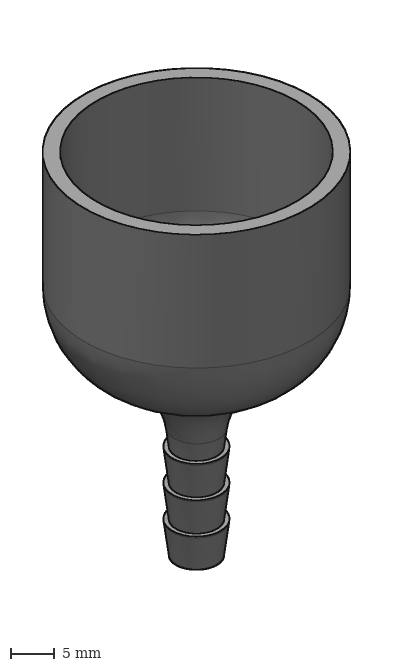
import cadquery as cq
import math

height = 54.65
outer_radius = 17.51
wall = 1.995
inner_radius = outer_radius - wall
bowl_top_z = 36.6
bowl_radius = 12.0
cavity_bowl_radius = bowl_radius - wall
bowl_center_r = outer_radius - bowl_radius
floor_z = bowl_top_z - cavity_bowl_radius

neck_fillet_radius = 10.0
barb_count = 3
barb_pitch = 4.9
barb_root_radius = 3.15
barb_tip_radius = 3.75
barb_land = 0.15
end_lip = 0.15
barb_stack_top_z = barb_count * barb_pitch

bore_radius = 2.25
bore_entry_round = 1.0

taper_angle = math.atan2(barb_tip_radius - barb_root_radius, barb_pitch - barb_land)
along_r, along_z = math.sin(taper_angle), math.cos(taper_angle)

offset_r = barb_root_radius + neck_fillet_radius * along_z
offset_z = barb_stack_top_z - neck_fillet_radius * along_r
gap_r = bowl_center_r - offset_r
gap_z = bowl_top_z - offset_z
projection = gap_r * along_r + gap_z * along_z
perpendicular = gap_r * along_z - gap_z * along_r
center_distance = bowl_radius + neck_fillet_radius
taper_length = projection - math.sqrt(center_distance**2 - perpendicular**2)
fillet_center_r = offset_r + taper_length * along_r
fillet_center_z = offset_z + taper_length * along_z
joint_angle = math.atan2(bowl_top_z - fillet_center_z, fillet_center_r - bowl_center_r)


def bowl_point(angle):
    """Point on the outer bowl at an angle below horizontal."""
    return (
        bowl_center_r + bowl_radius * math.cos(angle),
        bowl_top_z - bowl_radius * math.sin(angle),
    )


def fillet_point(angle):
    """Point on the neck fillet, with the angle measured up from the -R direction."""
    return (
        fillet_center_r - neck_fillet_radius * math.cos(angle),
        fillet_center_z + neck_fillet_radius * math.sin(angle),
    )


def make_body():
    """Solid outside shape, revolved around Z."""
    profile = cq.Workplane("XZ").moveTo(0, 0).lineTo(barb_root_radius, 0).lineTo(barb_root_radius, end_lip)
    for i in range(barb_count):
        ridge_z = (i + 1) * barb_pitch
        profile = profile.lineTo(barb_tip_radius, ridge_z - barb_land)
        profile = profile.lineTo(barb_tip_radius, ridge_z)
        profile = profile.lineTo(barb_root_radius, ridge_z)
    profile = (
        profile.lineTo(*fillet_point(taper_angle))
        .threePointArc(fillet_point((taper_angle + joint_angle) / 2), fillet_point(joint_angle))
        .threePointArc(bowl_point(joint_angle / 2), bowl_point(0))
        .lineTo(outer_radius, height)
        .lineTo(0, height)
        .close()
    )
    return profile.revolve(360, (0, 0), (0, 1))


def make_cavity():
    """Round-bottomed cavity and through bore with a rounded entry."""
    diagonal = math.sqrt(0.5)
    entry_radius = bore_radius + bore_entry_round
    entry_mid = (
        entry_radius - bore_entry_round * diagonal,
        floor_z - bore_entry_round * (1 - diagonal),
    )
    bowl_mid = (
        bowl_center_r + cavity_bowl_radius * diagonal,
        bowl_top_z - cavity_bowl_radius * diagonal,
    )
    profile = (
        cq.Workplane("XZ")
        .moveTo(0, 0)
        .lineTo(bore_radius, 0)
        .lineTo(bore_radius, floor_z - bore_entry_round)
        .threePointArc(entry_mid, (entry_radius, floor_z))
        .lineTo(bowl_center_r, floor_z)
        .threePointArc(bowl_mid, (inner_radius, bowl_top_z))
        .lineTo(inner_radius, height)
        .lineTo(0, height)
        .close()
    )
    return profile.revolve(360, (0, 0), (0, 1))


result = make_body().cut(make_cavity())